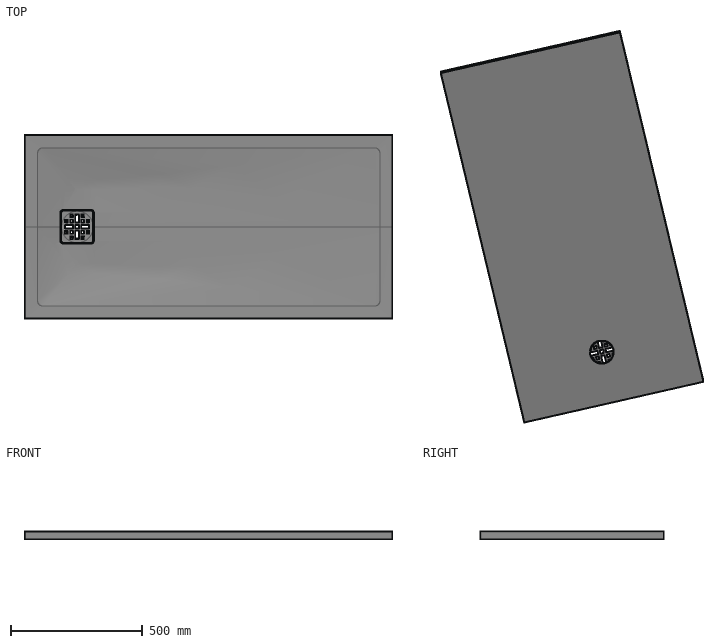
import cadquery as cq
length = 1400.0
width = 700.0
height = 31.0
edge_radius = 2.0

rim_width = 49.0
rim_drop = 1.0
basin_corner_radius = 20.0
basin_length = length - 2 * rim_width
basin_width = width - 2 * rim_width
basin_top = height - rim_drop

overshoot = 14.0
slab_allowance = 7.0

drain_x = -500.0
drain_top = 15.0
grate_inset = 1.0
grate_thickness = 2.0
grate_size = 120.0
grate_corner_radius = 5.0
grate_top = drain_top - grate_inset

recess_size = 129.0
recess_corner_radius = 13.0
recess_floor = grate_top - grate_thickness
dish_diameter = grate_size
dish_depth = 3.0
dish_bottom = recess_floor - dish_depth
outlet_diameter = 90.0

opening_pitch = 21.0
square_size = 10.0
slot_width = 13.0
near_place = opening_pitch
far_place = 2 * opening_pitch
slot_length = far_place - near_place + square_size
slot_offset = (near_place + far_place) / 2


def half_outline(center_x, size_x, size_y, radius, z):
    """Edges of the -Y half of a rectangle centred on Y = 0, from its -X side round to its +X side."""
    left = center_x - size_x / 2
    right = center_x + size_x / 2
    front = -size_y / 2
    path = cq.Workplane("XY", origin=(0, 0, z)).moveTo(left, 0)
    if radius == 0:
        path = path.lineTo(left, front).lineTo(right, front)
    else:
        path = path.lineTo(left, front + radius)
        path = path.radiusArc((left + radius, front), -radius)
        path = path.lineTo(right - radius, front)
        path = path.radiusArc((right, front + radius), -radius)
    return path.lineTo(right, 0).wire().val().Edges()


def sloping_face(outer, inner, guides=()):
    """One smooth face between two half outlines, ending on Y = 0 and passing through the guides."""
    left_end = cq.Edge.makeLine(outer[0].startPoint(), inner[0].startPoint())
    right_end = cq.Edge.makeLine(outer[-1].endPoint(), inner[-1].endPoint())
    return cq.Face.makeNSidedSurface([*outer, right_end, *inner, left_end], guides)


def flat_face(outline):
    """The flat face inside a half outline."""
    closing = cq.Edge.makeLine(outline[-1].endPoint(), outline[0].startPoint())
    return cq.Face.makeFromWires(cq.Wire.assembleEdges([*outline, closing]))


def corner_guides(rim, basin):
    """Straight lines from the sharp rim corners to the middles of the basin's corner arcs."""
    left_side, front_side, _ = rim
    _, left_arc, _, right_arc, _ = basin
    return [
        cq.Edge.makeLine(left_side.endPoint(), left_arc.positionAt(0.5)),
        cq.Edge.makeLine(front_side.endPoint(), right_arc.positionAt(0.5)),
    ]


def basin_cavity():
    """The space above the sloping rim and floor, reaching past the slab on all sides."""
    cavity_length = length + 2 * overshoot
    cavity_width = width + 2 * overshoot
    rim_rise = overshoot * rim_drop / rim_width
    lid = half_outline(0, cavity_length, cavity_width, 0, height + overshoot)
    rim = half_outline(0, cavity_length, cavity_width, 0, height + rim_rise)
    basin = half_outline(0, basin_length, basin_width, basin_corner_radius, basin_top)
    drain = half_outline(drain_x, recess_size, recess_size, recess_corner_radius, drain_top)
    half = [
        flat_face(lid),
        sloping_face(rim, basin, corner_guides(rim, basin)),
        sloping_face(basin, drain),
        flat_face(drain),
    ]
    half += [cq.Face.makeRuledSurface(low, high) for low, high in zip(rim, lid)]
    other_half = [face.mirror("XZ") for face in half]
    return cq.Workplane(cq.Solid.makeSolid(cq.Shell.makeShell(half + other_half)))


def rounded_plate(size, radius, bottom, top):
    """A square plate with rounded corners, centred on the drain."""
    plate = cq.Workplane("XY", origin=(drain_x, 0, bottom)).rect(size, size).extrude(top - bottom)
    return plate.edges("|Z").fillet(radius)


def drain_cavity():
    """The square recess, the dish in its floor and the outlet through the underside."""
    recess = rounded_plate(recess_size, recess_corner_radius, recess_floor, drain_top)
    dish = cq.Solid.makeCone(
        outlet_diameter / 2,
        dish_diameter / 2,
        dish_depth,
        pnt=(drain_x, 0, dish_bottom),
    )
    outlet = cq.Workplane("XY", origin=(drain_x, 0, 0)).circle(outlet_diameter / 2).extrude(dish_bottom)
    return recess.union(cq.Workplane(dish)).union(outlet)


def make_tray():
    """The slab with its basin, rounded on the upright and top outer edges, and its drain."""
    slab_height = height + slab_allowance
    slab = cq.Workplane("XY").box(length, width, slab_height, centered=(True, True, False))
    slab = slab.cut(basin_cavity())
    outer_edges = slab.faces("|X or |Y").edges("not <Z")
    return outer_edges.fillet(edge_radius).cut(drain_cavity())


def grate_openings():
    """Plan of the openings: a square in the middle, four slots in a cross and squares between them."""
    squares = []
    for x, y in [(near_place, near_place), (near_place, far_place), (far_place, near_place)]:
        squares += [(x, y), (-x, y), (x, -y), (-x, -y)]
    slots_along_x = [(-slot_offset, 0), (slot_offset, 0)]
    slots_along_y = [(0, -slot_offset), (0, slot_offset)]
    plan = cq.Sketch().rect(slot_width, slot_width)
    plan = plan.push(squares).rect(square_size, square_size).reset()
    plan = plan.push(slots_along_x).rect(slot_length, slot_width).reset()
    return plan.push(slots_along_y).rect(slot_width, slot_length).reset()


def make_grate():
    """The thin plate with its openings cut through."""
    plate = rounded_plate(grate_size, grate_corner_radius, recess_floor, grate_top)
    top_plane = plate.faces(">Z").workplane(origin=(drain_x, 0, grate_top))
    return top_plane.placeSketch(grate_openings()).cutThruAll()


tray = make_tray()
grate = make_grate()
result = cq.Compound.makeCompound([tray.val(), grate.val()])